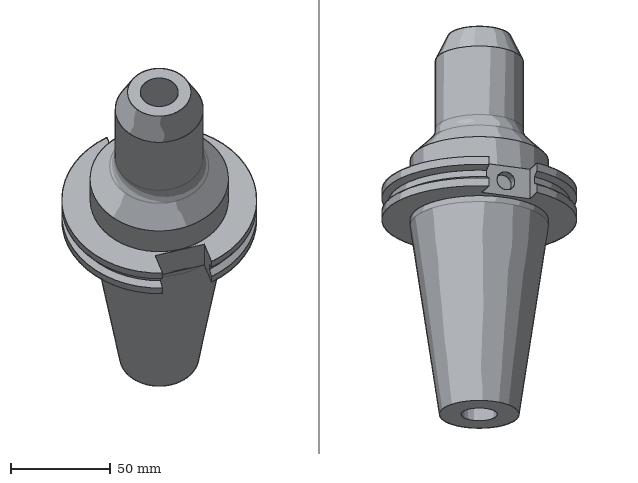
import cadquery as cq
import math


gauge_diameter = 69.85
taper_length = 101.6
taper_ratio = 7 / 24

flange_diameter = 98.425
flange_bottom = 3.175
flange_top = 19.05
groove_center = (flange_bottom + flange_top) / 2
groove_floor_diameter = 91.8
groove_floor_width = 3.4
groove_wall_angle = 30.0

slot_width = 25.9
slot_floor_left = 37.6
slot_floor_right = 35.3

dimple_diameter = 9.525
dimple_depth = 5.0

body_diameter = gauge_diameter
body_top = 35.0
shoulder_angle = 45.0
nose_diameter = 44.45
nose_fillet_radius = 9.525
nose_tip_diameter = 32.0
nose_tip_height = 13.0
nose_top = 101.6

tool_bore_diameter = 19.05
tool_bore_depth = 60.0
through_hole_diameter = 18.25

overall_height = taper_length + nose_top


def revolve_about_z(profile):
    """Revolve a closed XZ profile a full turn about the spindle axis."""
    return profile.close().revolve(360, (0, 0, 0), (0, 1, 0))


def make_shank():
    """Taper, body and nose as one revolved solid."""
    gauge_radius = gauge_diameter / 2
    body_radius = body_diameter / 2
    nose_radius = nose_diameter / 2
    small_end_radius = gauge_radius - taper_length * taper_ratio / 2

    cone_angle = math.radians(shoulder_angle)
    fillet_center_x = nose_radius + nose_fillet_radius
    fillet_start_x = fillet_center_x - nose_fillet_radius * math.cos(cone_angle)
    fillet_start_z = body_top + (body_radius - fillet_start_x) * math.tan(cone_angle)
    fillet_end_z = fillet_start_z + nose_fillet_radius * math.sin(cone_angle)
    fillet_mid_x = fillet_center_x - nose_fillet_radius * math.cos(cone_angle / 2)
    fillet_mid_z = fillet_end_z - nose_fillet_radius * math.sin(cone_angle / 2)

    profile = (
        cq.Workplane("XZ")
        .moveTo(0, -taper_length)
        .lineTo(small_end_radius, -taper_length)
        .lineTo(gauge_radius, 0)
        .lineTo(body_radius, body_top)
        .lineTo(fillet_start_x, fillet_start_z)
        .threePointArc((fillet_mid_x, fillet_mid_z), (nose_radius, fillet_end_z))
        .lineTo(nose_radius, nose_top - nose_tip_height)
        .lineTo(nose_tip_diameter / 2, nose_top)
        .lineTo(0, nose_top)
    )
    return revolve_about_z(profile)


def make_flange():
    """Flange disc with a trapezoidal groove around its rim."""
    rim_radius = flange_diameter / 2
    floor_radius = groove_floor_diameter / 2
    wall_rise = (rim_radius - floor_radius) * math.tan(math.radians(groove_wall_angle))
    half_floor = groove_floor_width / 2
    half_mouth = half_floor + wall_rise

    profile = (
        cq.Workplane("XZ")
        .moveTo(0, flange_bottom)
        .lineTo(rim_radius, flange_bottom)
        .lineTo(rim_radius, groove_center - half_mouth)
        .lineTo(floor_radius, groove_center - half_floor)
        .lineTo(floor_radius, groove_center + half_floor)
        .lineTo(rim_radius, groove_center + half_mouth)
        .lineTo(rim_radius, flange_top)
        .lineTo(0, flange_top)
    )
    return revolve_about_z(profile)


def make_drive_slot(side, floor_distance):
    """Block that clears a drive slot; side is -1 for -X and +1 for +X."""
    length = flange_diameter / 2
    height = flange_top - flange_bottom
    center_x = side * (floor_distance + length / 2)
    return (
        cq.Workplane("XY", origin=(center_x, 0, flange_bottom))
        .box(length, slot_width, height, centered=(True, True, False))
    )


def make_dimple():
    """Cylinder sunk into the left slot floor at the height of the groove."""
    return (
        cq.Workplane("YZ", origin=(-slot_floor_left, 0, groove_center))
        .circle(dimple_diameter / 2)
        .extrude(dimple_depth)
    )


def make_bore():
    """Tool bore from the nose face, with a narrower hole on down to the small end."""
    tool_bore = (
        cq.Workplane("XY", origin=(0, 0, nose_top - tool_bore_depth))
        .circle(tool_bore_diameter / 2)
        .extrude(tool_bore_depth)
    )
    through_hole = (
        cq.Workplane("XY", origin=(0, 0, -taper_length))
        .circle(through_hole_diameter / 2)
        .extrude(overall_height)
    )
    return tool_bore.union(through_hole)


result = (
    make_shank()
    .union(make_flange())
    .cut(make_drive_slot(-1, slot_floor_left))
    .cut(make_drive_slot(1, slot_floor_right))
    .cut(make_dimple())
    .cut(make_bore())
)